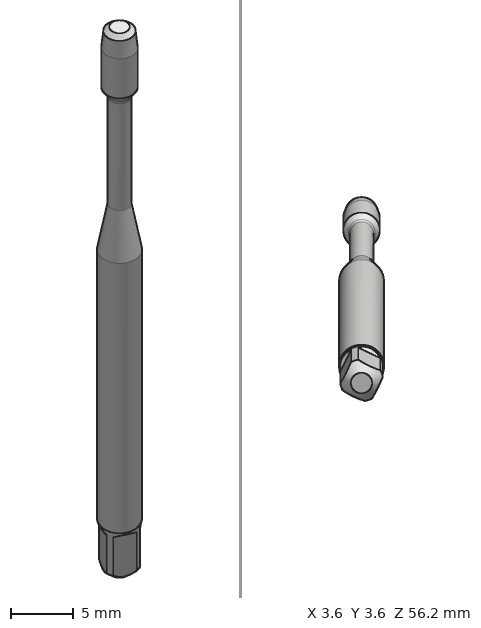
import cadquery as cq

total_length = 56.2
shank_bottom = 5.4
shank_top = 33.25
neck_bottom = 38.05
neck_top = 49.05
head_cone_bottom = 49.4
head_bottom = 50.0
head_taper_start = 54.1
tip_bevel_height = 0.4

shank_diameter = 3.6
neck_diameter = 1.9
head_cone_diameter = 2.15
head_diameter = 2.9
head_top_diameter = 2.6
tip_diameter = 1.65
drive_corner_diameter = 3.45
drive_end_diameter = 1.7

across_flats = 2.8
flat_top = 4.85

drive_bevel_height = (drive_corner_diameter - drive_end_diameter) / 2
shank_bevel_height = (shank_diameter - drive_corner_diameter) / 2


def turned_body():
    """Round body: half profile revolved about Z."""
    stations = [
        (drive_end_diameter, 0),
        (drive_corner_diameter, drive_bevel_height),
        (drive_corner_diameter, shank_bottom - shank_bevel_height),
        (shank_diameter, shank_bottom),
        (shank_diameter, shank_top),
        (neck_diameter, neck_bottom),
        (neck_diameter, neck_top),
        (head_cone_diameter, head_cone_bottom),
        (head_diameter, head_bottom),
        (head_diameter, head_taper_start),
        (head_top_diameter, total_length - tip_bevel_height),
        (tip_diameter, total_length),
    ]
    outline = [(0, 0)]
    outline += [(diameter / 2, height) for diameter, height in stations]
    outline.append((0, total_length))
    return cq.Workplane("XZ").polyline(outline).close().revolve(360, (0, 0), (0, 1))


def flat_cutter():
    """Cutter for the +X flat, with a 45-degree run-out up to the shank."""
    inner = across_flats / 2
    outer = shank_diameter
    clearance = 0.55
    return (
        cq.Workplane("XZ")
        .polyline([
            (inner, -clearance),
            (outer, -clearance),
            (outer, flat_top + outer - inner),
            (inner, flat_top),
        ])
        .close()
        .extrude(shank_diameter, both=True)
    )


result = turned_body()
for side in range(4):
    result = result.cut(flat_cutter().rotate((0, 0, 0), (0, 0, 1), 90 * side))